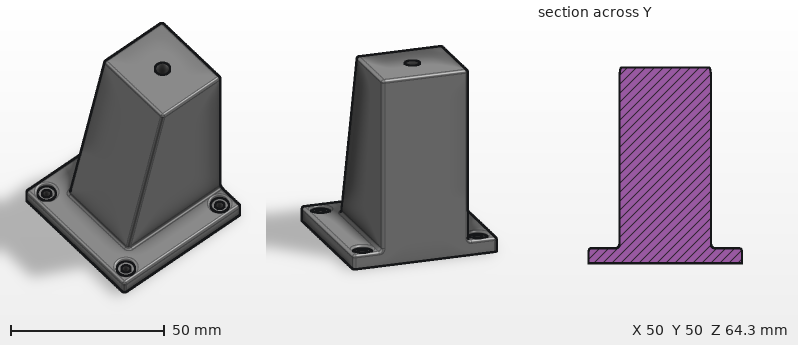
import cadquery as cq
import math

plate_size = 50.0
plate_thickness = 5.0

total_height = 64.3
tower_width = 30.0
tower_base_depth = 40.0
tower_top_depth = 25.0

edge_radius = 1.0

screw_spacing = 40.0
screw_diameter = 3.0
recess_floor_diameter = 6.0
recess_depth = 1.0

top_hole_diameter = 5.0
top_hole_depth = 15.0

back_y = plate_size / 2
top_hole_y = back_y - tower_top_depth / 2


def make_plate():
    return cq.Workplane("XY").box(plate_size, plate_size, plate_thickness, centered=(True, True, False))


def make_tower():
    """Prism across X with an upright back and a sloping front."""
    side_outline = [
        (back_y, plate_thickness),
        (back_y, total_height),
        (back_y - tower_top_depth, total_height),
        (back_y - tower_base_depth, plate_thickness),
    ]
    return cq.Workplane("YZ").polyline(side_outline).close().extrude(tower_width / 2, both=True)


def round_edges(body):
    """Round every edge except those around the flat underside."""
    return body.edges("not(<Z)").fillet(edge_radius)


def make_screw_cutters():
    """Through hole and round-walled recess, revolved about each screw axis."""
    screw_radius = screw_diameter / 2
    floor_radius = recess_floor_diameter / 2
    rim_radius = floor_radius + recess_depth
    floor_z = plate_thickness - recess_depth
    arc_middle_offset = recess_depth * (1 - math.cos(math.radians(45)))
    cutter = (
        cq.Workplane("XZ")
        .lineTo(screw_radius, 0)
        .lineTo(screw_radius, floor_z)
        .lineTo(floor_radius, floor_z)
        .threePointArc(
            (floor_radius + arc_middle_offset, plate_thickness - arc_middle_offset),
            (rim_radius, plate_thickness),
        )
        .lineTo(0, plate_thickness)
        .close()
        .revolve(360, (0, 0, 0), (0, 1, 0))
    )
    screw_positions = cq.Workplane("XY").rect(screw_spacing, screw_spacing, forConstruction=True).vertices()
    return screw_positions.eachpoint(lambda place: cutter.val().moved(place))


def make_top_hole_cutter():
    return (
        cq.Workplane("XY")
        .workplane(offset=total_height - top_hole_depth)
        .center(0, top_hole_y)
        .circle(top_hole_diameter / 2)
        .extrude(top_hole_depth)
    )


body = round_edges(make_plate().union(make_tower()).clean())
result = body.cut(make_screw_cutters()).cut(make_top_hole_cutter())